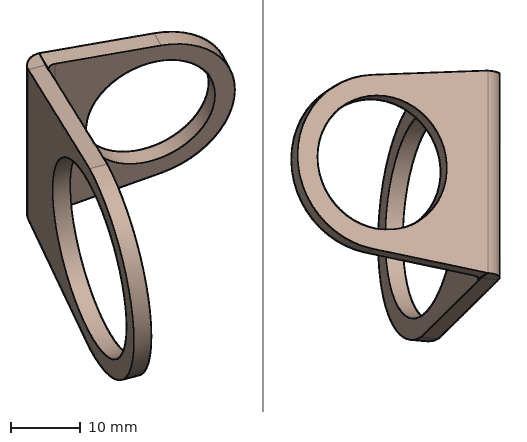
import cadquery as cq
import math

thickness = 2.7
inner_bend_radius = 1.35
length_x = 45.75
length_y = 31.75
height_z = 36.2

large_radius = height_z / 2
large_hole_radius = 15.0
small_radius = 12.95
small_hole_radius = 9.9
large_center = length_x - large_radius
small_center = length_y - small_radius

large_root_half = 15.1
small_root_half = 14.95


def tangent_point(root, root_half, center, radius):
    """Upper point where a line from the leg root touches the ring."""
    span = center - root
    distance = math.hypot(span, root_half)
    angle = math.atan2(root_half, -span) - math.acos(radius / distance)
    return center + radius * math.cos(angle), radius * math.sin(angle)


def plate(plane, center, radius, root_half, touch, depth):
    """Tapered plate from the edge of the bend to a round end that starts at the touch point."""
    touch_place, touch_half = touch
    return (
        cq.Workplane(plane)
        .moveTo(thickness, -root_half)
        .lineTo(touch_place, -touch_half)
        .threePointArc((center + radius, 0), (touch_place, touch_half))
        .lineTo(thickness, root_half)
        .close()
        .extrude(depth)
    )


def ring_hole(plane, center, radius, depth):
    """Cylinder to cut from the middle of a round end."""
    return cq.Workplane(plane).center(center, 0).circle(radius).extrude(depth)


large_touch = (large_center, large_radius)
large_leg = plate("XZ", large_center, large_radius, large_root_half, large_touch, -thickness)
large_leg = large_leg.cut(ring_hole("XZ", large_center, large_hole_radius, -thickness))

fillet_end = thickness + inner_bend_radius
small_touch = tangent_point(thickness, small_root_half, small_center, small_radius)
small_block = plate("YZ", small_center, small_radius, small_root_half, small_touch, fillet_end)
fillet_middle = fillet_end - inner_bend_radius * math.sqrt(0.5)
small_section = (
    cq.Workplane("XY", origin=(0, 0, -small_root_half))
    .moveTo(0, thickness)
    .lineTo(fillet_end, thickness)
    .threePointArc((fillet_middle, fillet_middle), (thickness, fillet_end))
    .lineTo(thickness, length_y)
    .lineTo(0, length_y)
    .close()
    .extrude(2 * small_root_half)
)
small_leg = small_block.intersect(small_section)
small_leg = small_leg.cut(ring_hole("YZ", small_center, small_hole_radius, thickness))

bend_outline = [
    (0, -small_root_half),
    (thickness, -large_root_half),
    (thickness, large_root_half),
    (0, small_root_half),
]
bend_cylinder = (
    cq.Workplane("XY", origin=(thickness, thickness, -large_root_half))
    .circle(thickness)
    .extrude(2 * large_root_half)
)
bend = cq.Workplane("XZ").polyline(bend_outline).close().extrude(-thickness).intersect(bend_cylinder)

result = large_leg.union(bend).union(small_leg)